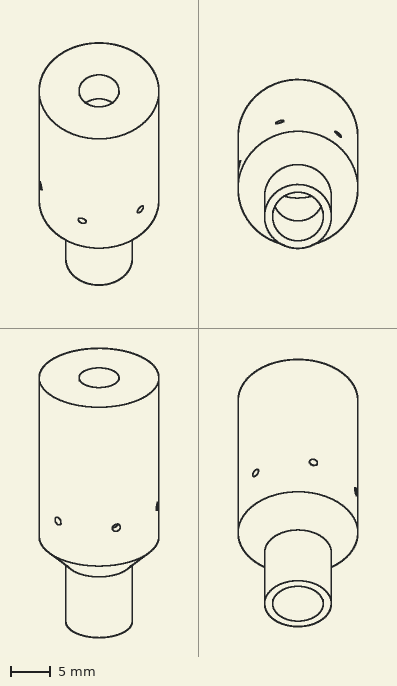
import cadquery as cq

total_height = 35.0
body_diameter = 15.0
stem_diameter = 8.35
stem_height = 8.75
taper_height = 3.43
taper_top = stem_height + taper_height

wall = 1.0
lid_bore_diameter = 5.0
lid_thickness = 5.0
lid_underside = total_height - lid_thickness

radial_hole_diameter = 1.0
radial_hole_count = 6
radial_hole_z = total_height / 2
first_hole_angle = -90.0


def stepped_solid(stem_radius, body_radius, top):
    """Stem, taper and cylindrical body up to the given height, revolved about Z."""
    profile = (
        cq.Workplane("XZ")
        .moveTo(0, 0)
        .lineTo(stem_radius, 0)
        .lineTo(stem_radius, stem_height)
        .lineTo(body_radius, taper_top)
        .lineTo(body_radius, top)
        .lineTo(0, top)
        .close()
    )
    return profile.revolve(360, (0, 0, 0), (0, 1, 0))


def lid_bore():
    """Straight bore through the lid into the cavity."""
    return cq.Workplane("XY").circle(lid_bore_diameter / 2).extrude(total_height)


def radial_hole(angle):
    """Drill from the axis out past the wall, at the given angle from +X."""
    return (
        cq.Workplane("YZ")
        .center(0, radial_hole_z)
        .circle(radial_hole_diameter / 2)
        .extrude(body_diameter)
        .rotate((0, 0, 0), (0, 0, 1), angle)
    )


outside = stepped_solid(stem_diameter / 2, body_diameter / 2, total_height)
cavity = stepped_solid(stem_diameter / 2 - wall, body_diameter / 2 - wall, lid_underside)

result = outside.cut(cavity).cut(lid_bore())
for index in range(radial_hole_count):
    hole_angle = first_hole_angle + index * 360 / radial_hole_count
    result = result.cut(radial_hole(hole_angle))